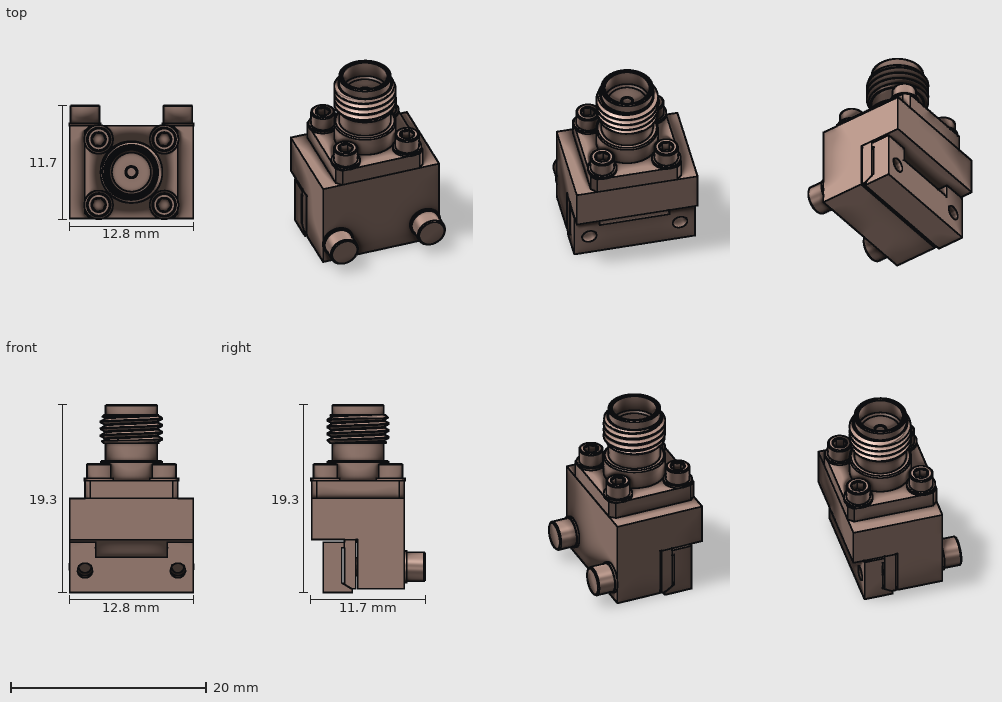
import cadquery as cq
import math


block_width = 12.7
flange_side = 9.525
back_y = flange_side / 2
front_y = -flange_side / 2
washer_thickness = 0.25

housing_bottom_z = -9.29
step_z = -4.22
step_y = -0.045

plate_back_y = -0.23
plate_front_y = -1.39

jaw_front_y = -3.575
jaw_top_z = -4.48
jaw_bottom_z = -9.67
jaw_toe_y = -0.57
pocket_y = -1.65
pocket_top_z = -5.08
ramp_low_z = -9.33
ramp_slope = math.tan(math.radians(32))
notch_width = 7.36
notch_depth = 1.54
jaw_hole_diameter = 1.52
jaw_hole_z = -7.40

clamp_screw_x = 4.7625
clamp_screw_z = -7.01
shank_diameter = 1.85
shank_tip_diameter = 1.27
clamp_head_diameter = 3.0
clamp_head_height = 1.86
clamp_head_chamfer = 0.13
clamp_washer_diameter = 3.25

flange_thickness = 1.79
flange_corner_chamfer = 0.54
collar_diameter = 6.35
collar_top_z = 3.85
collar_chamfer = 0.15
barrel_diameter = 5.33
barrel_top_z = 9.61
barrel_chamfer = 0.13
bore_diameter = 4.57
bore_entry_diameter = 4.80
bore_floor_diameter = 4.0
bore_depth = 2.0
bore_cone_height = 0.2
contact_diameter = 1.02
contact_recess_diameter = 1.27
contact_recess_depth = 0.2
launch_pin_diameter = 0.18
launch_pin_drop = 0.28

thread_bottom_z = 5.63
thread_top_z = 8.57
thread_pitch = 25.4 / 36
thread_major_radius = 6.35 / 2
thread_minor_radius = 5.49 / 2
thread_root_overlap = 0.05
thread_crest_width = thread_pitch / 8
thread_half_angle = math.radians(30)
thread_end_radius = 2.8
thread_crest_z = 8.20

flange_screw_offset = 3.36
flange_washer_diameter = 2.95
flange_head_diameter = 2.44
flange_head_height = 1.52
flange_head_chamfer = 0.12
socket_across_flats = 1.27
socket_depth = 1.1
socket_rim_diameter = 1.51

flange_screw_settings = [
    (-1, -1, 10),
    (-1, 1, 53),
    (1, -1, 53),
    (1, 1, 53),
]


def cylinder_z(diameter, low_z, high_z):
    """Upright cylinder on the connector axis."""
    return cq.Workplane("XY", origin=(0, 0, low_z)).circle(diameter / 2).extrude(high_z - low_z)


def cylinder_y(diameter, x, z, start_y, end_y):
    """Cylinder lying along Y, from start_y back to the larger end_y."""
    plane = cq.Plane(origin=(x, start_y, z), xDir=(1, 0, 0), normal=(0, 1, 0))
    return cq.Workplane(plane).circle(diameter / 2).extrude(end_y - start_y)


def profile_across_block(points):
    """Extrude a (Y, Z) outline across the full block width, centred on X = 0."""
    return cq.Workplane("YZ").polyline(points).close().extrude(block_width / 2, both=True)


def ramp_z(y):
    """Height at y of the sloping contact between the plate and the jaw."""
    return ramp_low_z + (jaw_toe_y - y) * ramp_slope


def cut_clamp_holes(body, diameter, z):
    """Drill both clamp screw positions right through a body, along Y."""
    for x in (-clamp_screw_x, clamp_screw_x):
        body = body.cut(cylinder_y(diameter, x, z, front_y, back_y))
    return body


def make_housing():
    block = profile_across_block([
        (back_y, 0),
        (back_y, housing_bottom_z),
        (step_y, housing_bottom_z),
        (step_y, step_z),
        (front_y, step_z),
        (front_y, 0),
    ])
    block = cut_clamp_holes(block, shank_diameter, clamp_screw_z)
    return block.cut(cylinder_z(launch_pin_diameter, step_z - launch_pin_drop, 0))


def make_plate():
    ramp_end_y = jaw_toe_y - (housing_bottom_z - ramp_low_z) / ramp_slope
    plate = profile_across_block([
        (plate_back_y, step_z),
        (plate_back_y, housing_bottom_z),
        (ramp_end_y, housing_bottom_z),
        (plate_front_y, ramp_z(plate_front_y)),
        (plate_front_y, step_z),
    ])
    return cut_clamp_holes(plate, shank_diameter, clamp_screw_z)


def make_jaw():
    jaw = profile_across_block([
        (jaw_front_y, jaw_top_z),
        (plate_front_y, jaw_top_z),
        (plate_front_y, pocket_top_z),
        (pocket_y, pocket_top_z),
        (pocket_y, ramp_z(pocket_y)),
        (jaw_toe_y, ramp_low_z),
        (jaw_toe_y, jaw_bottom_z),
        (jaw_front_y, jaw_bottom_z),
    ])
    notch = (
        cq.Workplane("XY", origin=(0, jaw_front_y, jaw_top_z - notch_depth))
        .box(notch_width, plate_front_y - jaw_front_y, notch_depth, centered=(True, False, False))
    )
    return cut_clamp_holes(jaw.cut(notch), jaw_hole_diameter, jaw_hole_z)


def make_clamp_screw(x):
    tip_chamfer = (shank_diameter - shank_tip_diameter) / 2
    washer_back_y = back_y + washer_thickness
    head_back_y = washer_back_y + clamp_head_height
    shank = cylinder_y(shank_diameter, x, clamp_screw_z, plate_front_y, back_y)
    shank = shank.faces("<Y").chamfer(tip_chamfer)
    washer = cylinder_y(clamp_washer_diameter, x, clamp_screw_z, back_y, washer_back_y)
    head = cylinder_y(clamp_head_diameter, x, clamp_screw_z, washer_back_y, head_back_y)
    head = head.faces(">Y").chamfer(clamp_head_chamfer)
    return shank.union(washer).union(head)


def make_flange_screw(x, y, turn_angle):
    washer_top_z = flange_thickness + washer_thickness
    head_top_z = washer_top_z + flange_head_height
    washer = cylinder_z(flange_washer_diameter, flange_thickness, washer_top_z)
    head = cylinder_z(flange_head_diameter, washer_top_z, head_top_z).faces(">Z").chamfer(flange_head_chamfer)
    hexagon_diameter = socket_across_flats / math.cos(math.pi / 6)
    socket = (
        cq.Workplane("XY", origin=(0, 0, head_top_z))
        .polygon(6, hexagon_diameter)
        .extrude(-socket_depth)
    )
    rim_height = (socket_rim_diameter - socket_across_flats) / 2
    rim = cq.Workplane(cq.Solid.makeCone(
        socket_across_flats / 2,
        socket_rim_diameter / 2,
        rim_height,
        cq.Vector(0, 0, head_top_z - rim_height),
    ))
    screw = washer.union(head.cut(socket).cut(rim))
    return screw.rotate((0, 0, 0), (0, 0, 1), turn_angle).translate((x, y, 0))


def make_thread():
    """Threaded sleeve: a core with a right-hand 60 degree ridge, chamfered at both ends."""
    core = cylinder_z(2 * thread_minor_radius, thread_bottom_z, thread_top_z)
    root_radius = thread_minor_radius - thread_root_overlap
    crest_half = thread_crest_width / 2
    root_half = crest_half + (thread_major_radius - root_radius) * math.tan(thread_half_angle)

    envelope_radius = thread_major_radius + thread_root_overlap
    turns_below = math.ceil((thread_crest_z - thread_bottom_z) / thread_pitch) + 1
    start_z = thread_crest_z - turns_below * thread_pitch
    helix_height = (turns_below + 2) * thread_pitch
    helix = cq.Wire.makeHelix(thread_pitch, helix_height, root_radius, cq.Vector(0, 0, start_z))
    ridge = (
        cq.Workplane("XZ")
        .polyline([
            (root_radius, start_z - root_half),
            (thread_major_radius, start_z - crest_half),
            (thread_major_radius, start_z + crest_half),
            (root_radius, start_z + root_half),
        ])
        .close()
        .sweep(cq.Workplane(helix), isFrenet=True)
    )
    envelope = cylinder_z(2 * envelope_radius, thread_bottom_z, thread_top_z)
    envelope = envelope.edges("%CIRCLE").chamfer(envelope_radius - thread_end_radius)
    return core.union(ridge.intersect(envelope))


def make_connector():
    flange = cq.Workplane("XY").rect(flange_side, flange_side).extrude(flange_thickness)
    flange = flange.edges("|Z").chamfer(flange_corner_chamfer)
    collar = cylinder_z(collar_diameter, flange_thickness, collar_top_z).faces(">Z").chamfer(collar_chamfer)
    barrel = cylinder_z(barrel_diameter, flange_thickness, barrel_top_z).faces(">Z").chamfer(barrel_chamfer)
    launch_pin = cylinder_z(launch_pin_diameter, step_z - launch_pin_drop, 0)
    connector = flange.union(collar).union(barrel).union(make_thread()).union(launch_pin)

    floor_z = barrel_top_z - bore_depth
    entry_height = (bore_entry_diameter - bore_diameter) / 2
    bore = (
        cq.Workplane("XZ")
        .polyline([
            (0, floor_z),
            (bore_floor_diameter / 2, floor_z),
            (bore_diameter / 2, floor_z + bore_cone_height),
            (bore_diameter / 2, barrel_top_z - entry_height),
            (bore_entry_diameter / 2, barrel_top_z),
            (0, barrel_top_z),
        ])
        .close()
        .revolve(360, (0, 0, 0), (0, 1, 0))
    )
    recess = (
        cq.Workplane("XY", origin=(0, 0, floor_z))
        .circle(contact_recess_diameter / 2)
        .circle(contact_diameter / 2)
        .extrude(-contact_recess_depth)
    )
    connector = connector.cut(bore).cut(recess)

    for x_side, y_side, turn_angle in flange_screw_settings:
        x = x_side * flange_screw_offset
        y = y_side * flange_screw_offset
        connector = connector.union(make_flange_screw(x, y, turn_angle))
    return connector


connector = make_connector()
housing = make_housing()
plate = make_plate()
jaw = make_jaw()
clamp_screws = [make_clamp_screw(x) for x in (-clamp_screw_x, clamp_screw_x)]

result = cq.Compound.makeCompound([
    connector.solids().val(),
    housing.solids().val(),
    plate.solids().val(),
    jaw.solids().val(),
    *[screw.solids().val() for screw in clamp_screws],
])